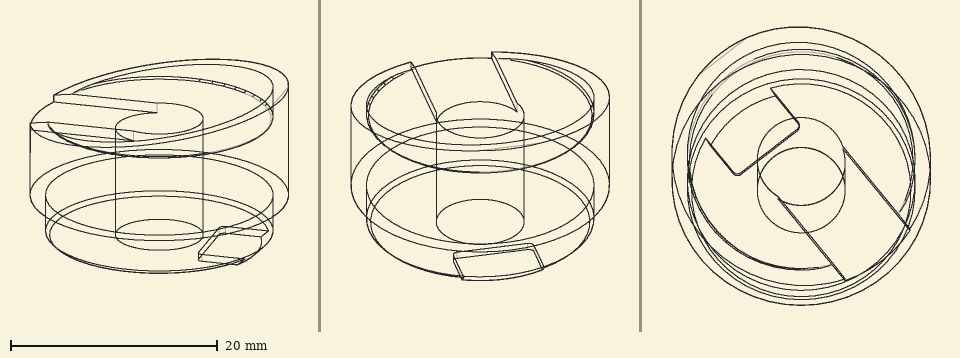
import cadquery as cq
import math

SPIGOT_BOTTOM = 0.7
SHOULDER = 4.8
POCKET_FLOOR = 12.7
SLOT_DEPTH = 1.0
SLOT_FLOOR = POCKET_FLOOR - SLOT_DEPTH
RIM_LOW = 12.3
RIM_TOP = 16.2

BODY_RADIUS = 12.5
SPIGOT_RADIUS = 11.0
POCKET_RADIUS = SPIGOT_RADIUS
BORE_RADIUS = 4.25
POCKET_FILLET = 0.2
RIM_ANGLE = 9.0

CONE_HEIGHT = 1.1

SLOT_WIDTH = 8.0
TAB_WIDTH = SLOT_WIDTH
TAB_START = 5.0
TAB_CORNER_RADIUS = 0.5


def disc(radius, bottom, top):
    """Cylinder about the Z axis between two heights."""
    return cq.Workplane("XY").workplane(offset=bottom).circle(radius).extrude(top - bottom)


def make_body():
    """Round body whose sloped rim ends in a small level land at +X."""
    land_start = (RIM_TOP - RIM_LOW) / math.tan(math.radians(RIM_ANGLE)) - BODY_RADIUS
    side_profile = (
        cq.Workplane("XZ")
        .moveTo(-BODY_RADIUS, SHOULDER)
        .lineTo(BODY_RADIUS, SHOULDER)
        .lineTo(BODY_RADIUS, RIM_TOP)
        .lineTo(land_start, RIM_TOP)
        .lineTo(-BODY_RADIUS, RIM_LOW)
        .close()
        .extrude(BODY_RADIUS, both=True)
    )
    return disc(BODY_RADIUS, SHOULDER, RIM_TOP).intersect(side_profile)


def make_coned_plug():
    """Spigot cylinder with its lower cone carried down to the tab underside."""
    return disc(SPIGOT_RADIUS, 0, SHOULDER).faces("<Z").chamfer(CONE_HEIGHT)


def make_spigot():
    """Part of the coned plug above the spigot's flat underside."""
    return make_coned_plug().intersect(disc(SPIGOT_RADIUS, SPIGOT_BOTTOM, SHOULDER))


def make_tab():
    """Locating tab under the spigot, with rounded inner corners and a conical outer end."""
    tab_length = SPIGOT_RADIUS - TAB_START
    block = (
        cq.Workplane("XY")
        .center(TAB_START + tab_length / 2, 0)
        .rect(tab_length, TAB_WIDTH)
        .extrude(SHOULDER)
        .edges("|Z and <X")
        .fillet(TAB_CORNER_RADIUS)
    )
    return block.intersect(make_coned_plug())


def make_pocket():
    """Round pocket cutter with a rounded bottom edge."""
    return disc(POCKET_RADIUS, POCKET_FLOOR, RIM_TOP).faces("<Z").fillet(POCKET_FILLET)


def make_slot():
    """Radial slot cutter from the axis out through the low side of the rim."""
    return (
        cq.Workplane("XY")
        .workplane(offset=SLOT_FLOOR)
        .center(-BODY_RADIUS / 2, 0)
        .rect(BODY_RADIUS, SLOT_WIDTH)
        .extrude(RIM_TOP - SLOT_FLOOR)
    )


result = (
    make_body()
    .union(make_spigot())
    .union(make_tab())
    .cut(make_pocket())
    .cut(make_slot())
    .cut(disc(BORE_RADIUS, 0, RIM_TOP))
)